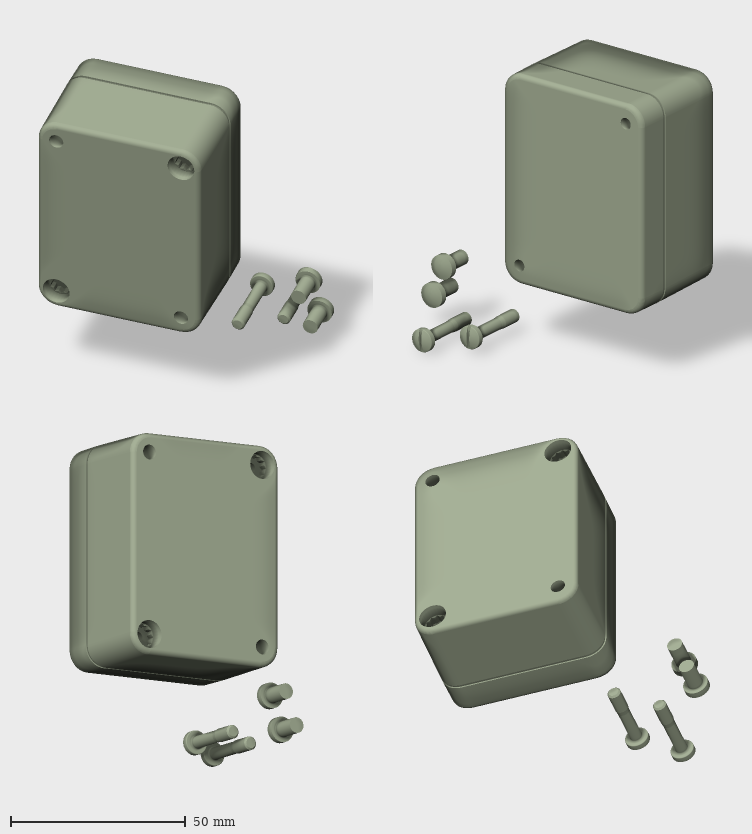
import cadquery as cq
import math

box_width = 50.0
box_height = 65.0
box_depth = 35.0
gasket_thickness = 1.0
gasket_inset = 0.4
lid_depth = 10.05
base_depth = box_depth - gasket_thickness - lid_depth
draft_angle = 0.6
corner_radius = 6.1
rim_radius = 1.5
total_width = 76.85
total_height = 83.0
box_center_x = box_width / 2
box_center_z = total_height - box_height / 2

hole_spacing_x = 38.0
hole_spacing_z = 53.0
through_hole_mouth_diameter = 4.3
through_hole_end_diameter = 3.6
well_mouth_diameter = 8.1
well_floor_diameter = 7.6
well_depth = 4.0

insert_tip_diameter = 7.5
insert_root_diameter = 6.2
insert_tooth_count = 12
insert_recess = 2.5
insert_length = 7.5
insert_bore_diameter = 3.3
insert_bore_depth = 5.8

screw_length = 22.6
screw_head_diameter = 7.05
screw_head_height = 2.65
screw_dome_height = 0.8
screw_neck_radius = 0.4
screw_head_edge_radius = 0.25
shank_diameter = 3.6
shank_end = 14.0
thread_start = 15.6
thread_diameter = 4.0
thread_chamfer = 0.5
slot_width = 1.0
slot_depth = 0.9

plug_length = 10.5
plug_head_diameter = 7.5
plug_head_height = 2.7
plug_dome_height = 0.75
plug_stem_diameter = 4.6
plug_neck_radius = 0.25

screw_places = [
    (51.3, 50.0, 4.5, 0.0),
    (62.25, 58.1, screw_head_diameter / 2, 4.0),
]
plug_places = [
    (69.55, 38.8, 18.2),
    (total_width - plug_head_diameter / 2, 38.8, 8.6),
]


def section_plane(y):
    """Plane across the box at depth y, centred on the box and facing +Y."""
    return cq.Plane(origin=(box_center_x, y, box_center_z), xDir=(1, 0, 0), normal=(0, 1, 0))


def corner_points(diagonal):
    """Local places of two opposite corner holes; diagonal is +1 or -1."""
    x = hole_spacing_x / 2
    z = hole_spacing_z / 2
    return [(-x, diagonal * z), (x, -diagonal * z)]


through_points = corner_points(-1)
well_points = corner_points(1)


def tapered_holes(points, mouth_diameter, end_diameter, depth):
    """One cone frustum per point, from its mouth at Y = 0 toward +Y."""
    plane = section_plane(0)
    return [
        cq.Solid.makeCone(mouth_diameter / 2, end_diameter / 2, depth, plane.toWorldCoords(point), plane.zDir)
        for point in points
    ]


def toothed_bar(point, y, length):
    """Bar with straight-flanked teeth around it, from depth y toward +Y."""
    outline = []
    for step in range(2 * insert_tooth_count):
        radius = (insert_root_diameter if step % 2 else insert_tip_diameter) / 2
        angle = math.pi * step / insert_tooth_count
        outline.append((point[0] + radius * math.cos(angle), point[1] + radius * math.sin(angle)))
    return cq.Workplane(section_plane(y)).polyline(outline).close().extrude(length)


def drafted_shell(depth):
    """Block with its wide face at local Z = 0, tapering to a rounded closed face at Z = depth."""
    block = cq.Workplane("XY").rect(box_width, box_height).extrude(depth, taper=draft_angle)
    block = block.edges("not(<Z or >Z)").fillet(corner_radius)
    return block.faces(">Z").edges().fillet(rim_radius)


def on_box(shape, y, turn):
    """Turn a block about X so that its local Z runs along Y, and move it to depth y."""
    return shape.rotate((0, 0, 0), (1, 0, 0), turn).translate((box_center_x, y, box_center_z))


through_cuts = tapered_holes(
    through_points, through_hole_mouth_diameter, through_hole_end_diameter, box_depth
)
well_cuts = tapered_holes(well_points, well_mouth_diameter, well_floor_diameter, well_depth)

base = on_box(drafted_shell(base_depth), base_depth, 90)
for cut in through_cuts + well_cuts:
    base = base.cut(cut)
for point in well_points:
    base = base.cut(toothed_bar(point, well_depth, insert_recess + insert_length))

gasket = (
    cq.Workplane(section_plane(base_depth))
    .rect(box_width - 2 * gasket_inset, box_height - 2 * gasket_inset)
    .extrude(gasket_thickness)
    .edges("|Y")
    .fillet(corner_radius - gasket_inset)
)
for cut in through_cuts:
    gasket = gasket.cut(cut)

lid = on_box(drafted_shell(lid_depth), base_depth + gasket_thickness, -90)
for cut in through_cuts:
    lid = lid.cut(cut)


def make_insert(point):
    """Toothed insert with a blind bore, open toward -Y."""
    face = well_depth + insert_recess
    insert = toothed_bar(point, face, insert_length)
    bore = (
        cq.Workplane(section_plane(face))
        .center(*point)
        .circle(insert_bore_diameter / 2)
        .extrude(insert_bore_depth)
    )
    return insert.cut(bore)


def headed_profile(head_radius, head_height, dome_height, stem_radius, neck_radius):
    """Half profile from the dome's top down to the stem, ready to be continued toward -Y."""
    dome_radius = (head_radius**2 + dome_height**2) / (2 * dome_height)
    half_chord = head_radius / 2
    half_sag = dome_radius - math.sqrt(dome_radius**2 - half_chord**2)
    return (
        cq.Workplane("ZY")
        .moveTo(0, 0)
        .threePointArc((half_chord, -half_sag), (head_radius, -dome_height))
        .lineTo(head_radius, -head_height)
        .lineTo(stem_radius + neck_radius, -head_height)
        .radiusArc((stem_radius, -head_height - neck_radius), -neck_radius)
    )


def revolved(profile):
    """Close a half profile along the Y axis and turn it into a solid."""
    return profile.close().revolve(360, (0, 0, 0), (0, 1, 0))


def make_screw(x, y, z, slot_angle):
    """Slotted screw with a reduced shank between its head and its thread."""
    thread_radius = thread_diameter / 2
    profile = headed_profile(
        screw_head_diameter / 2,
        screw_head_height,
        screw_dome_height,
        shank_diameter / 2,
        screw_neck_radius,
    )
    profile = (
        profile.lineTo(shank_diameter / 2, -shank_end)
        .lineTo(thread_radius, -thread_start)
        .lineTo(thread_radius, thread_chamfer - screw_length)
        .lineTo(thread_radius - thread_chamfer, -screw_length)
        .lineTo(0, -screw_length)
    )
    slot = (
        cq.Workplane("XY")
        .box(slot_width, 2 * slot_depth, 2 * screw_head_diameter)
        .rotate((0, 0, 0), (0, 1, 0), slot_angle)
    )
    screw = revolved(profile)
    head_edges = cq.selectors.RadiusNthSelector(-2)
    screw = screw.edges(head_edges).fillet(screw_head_edge_radius)
    return screw.cut(slot).translate((x, y, z))


def make_plug(x, y, z):
    """Plain plug with a domed head."""
    profile = headed_profile(
        plug_head_diameter / 2,
        plug_head_height,
        plug_dome_height,
        plug_stem_diameter / 2,
        plug_neck_radius,
    )
    profile = profile.lineTo(plug_stem_diameter / 2, -plug_length).lineTo(0, -plug_length)
    return revolved(profile).translate((x, y, z))


inserts = [make_insert(point) for point in well_points]
screws = [make_screw(*place) for place in screw_places]
plugs = [make_plug(*place) for place in plug_places]

bodies = [base, gasket, lid, *inserts, *screws, *plugs]
result = cq.Compound.makeCompound([body.val() for body in bodies])